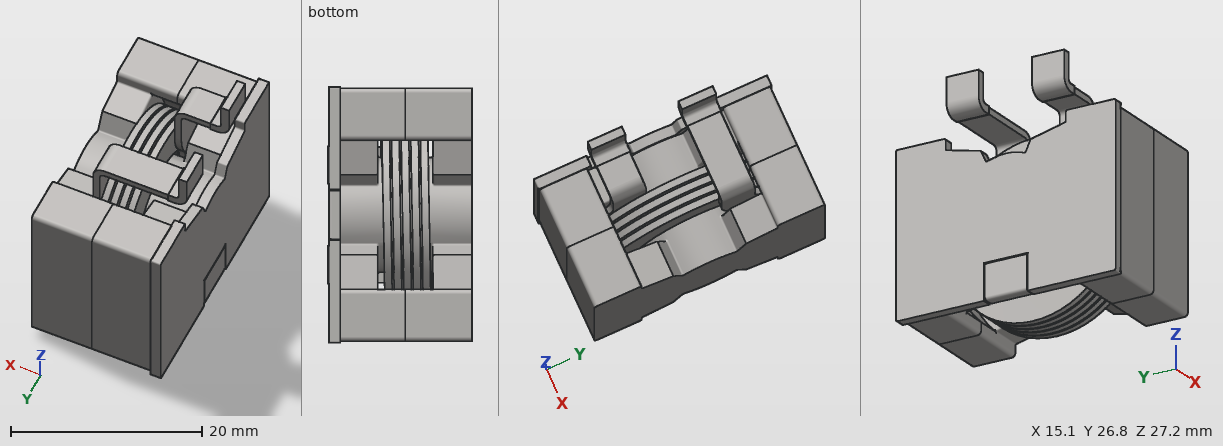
import cadquery as cq
import math


CORE_HALF_LENGTH = 6.98
CORE_WIDTH = 26.5
CORE_HEIGHT = 19.02
CORE_END_X = 15.1
CORE_MID_X = CORE_END_X - CORE_HALF_LENGTH
CORE_START_X = CORE_MID_X - CORE_HALF_LENGTH
CHAMBER_DEPTH = 2.88
POST_RADIUS = 6.0
BORE_RADIUS = 11.25
LEG_INNER_Y = 7.8
LEG_FILLET = 0.5
NOTCH_OUTER_Z = 8.1
NOTCH_STEP_Y = 4.18
NOTCH_STEP_Z = 7.25
NOTCH_FLOOR_Y = 3.05
NOTCH_FLOOR_Z = 5.03
NOTCH_FILLET = 0.2

PLATE_START_X = 0.1
PLATE_THICKNESS = 1.2
PLATE_WIDTH = 26.8
PLATE_HEIGHT = 19.48
PLATE_FILLET = 0.2
CUTOUT_HALF_WIDTH = 7.34
CUTOUT_SIDE_Z = 8.42
CUTOUT_STEP_Y = 3.05
CUTOUT_STEP_Z = 7.42
CUTOUT_ARC_RADIUS = 6.45
CUTOUT_ARC_Y = 2.4
PLATE_END_X = PLATE_START_X + PLATE_THICKNESS

STRAP_WIDTH = 5.08
STRAP_THICKNESS = 0.22
STRAP_GAP = 0.14
STRAP_BOTTOM_Z = -9.67
STRAP_BEND_RADIUS = 0.35
RECESS_WIDTH = STRAP_WIDTH + 2 * STRAP_GAP
RECESS_TOP_Z = -5.43
RECESS_BEND_RADIUS = STRAP_BEND_RADIUS - STRAP_THICKNESS

WIRE_WIDTH = 3.8
WIRE_THICKNESS = 0.8
COIL_OUTER_RADIUS = 10.51
COIL_MEAN_RADIUS = COIL_OUTER_RADIUS - WIRE_WIDTH / 2
COIL_START_X = 5.95
COIL_TURNS = 4.5
COIL_PITCH = 1.0
COIL_END_X = COIL_START_X + COIL_TURNS * COIL_PITCH

LEAD_Y = 5.22
LEAD_Z = 12.8
LEAD_TOP_Z = 16.65
LEAD_BEND_RADIUS = 0.95
LEAD_JOG_RADIUS = 3.8
TIN_WIDTH = 3.95
TIN_THICKNESS = 0.95
TIN_LENGTH = 2.2


def box_between(x0, x1, y0, y1, z0, z1):
    """Box given by its limits on each axis."""
    return cq.Workplane("XY").box(x1 - x0, y1 - y0, z1 - z0, centered=False).translate((x0, y0, z0))


def x_cylinder(radius, x0, x1):
    """Cylinder on the winding axis."""
    return cq.Workplane("YZ", origin=(x0, 0, 0)).circle(radius).extrude(x1 - x0)


def edges_at(y, z):
    """Selector for edges near (y, z) and its three mirror positions."""
    reach = 0.14
    selector = None
    for centre_y in (-y, y):
        for centre_z in (-z, z):
            box = cq.selectors.BoxSelector(
                (CORE_START_X, centre_y - reach, centre_z - reach),
                (CORE_END_X, centre_y + reach, centre_z + reach),
            )
            selector = box if selector is None else selector + box
    return selector


def end_wall():
    """Wall behind the chamber, with stepped V notches above and below and rounded inner edges."""
    wall_y = LEG_INNER_Y + LEG_FILLET
    wall_z = CORE_HEIGHT / 2 - LEG_FILLET
    quarter = [
        (wall_y, wall_z),
        (LEG_INNER_Y, wall_z),
        (LEG_INNER_Y, NOTCH_OUTER_Z),
        (NOTCH_STEP_Y, NOTCH_STEP_Z),
        (NOTCH_FLOOR_Y, NOTCH_FLOOR_Z),
    ]
    top = quarter + [(-y, z) for y, z in reversed(quarter)]
    bottom = [(-y, -z) for y, z in top]
    wall = (
        cq.Workplane("YZ", origin=(CORE_START_X, 0, 0))
        .polyline(top + bottom)
        .close()
        .extrude(CORE_HALF_LENGTH - CHAMBER_DEPTH)
    )
    wall = wall.edges("|X").edges(edges_at(LEG_INNER_Y, NOTCH_OUTER_Z)).fillet(NOTCH_FILLET)
    return wall.faces(">X").edges().fillet(NOTCH_FILLET)


def core_leg(side):
    """Outer leg on one side (-1 or +1 along Y), hollowed for the coil."""
    leg_width = CORE_WIDTH / 2 - LEG_INNER_Y
    leg = (
        cq.Workplane("YZ", origin=(CORE_START_X, side * (LEG_INNER_Y + leg_width / 2), 0))
        .rect(leg_width, CORE_HEIGHT)
        .extrude(CORE_HALF_LENGTH)
        .edges("|X")
        .fillet(LEG_FILLET)
    )
    return leg.cut(x_cylinder(BORE_RADIUS, CORE_MID_X - CHAMBER_DEPTH, CORE_MID_X))


def core_half():
    """Core half on the plate side, with its mating face at CORE_MID_X."""
    body = end_wall().union(core_leg(-1)).union(core_leg(1))
    body = body.union(x_cylinder(POST_RADIUS, CORE_START_X, CORE_MID_X))

    root_z = math.sqrt(POST_RADIUS ** 2 - NOTCH_FLOOR_Y ** 2)
    return body.edges("|X").edges(edges_at(NOTCH_FLOOR_Y, root_z)).fillet(NOTCH_FILLET)


def base_plate(core):
    """Plate with a rim around three sides of the core; the -Y side is open."""
    half_width = PLATE_WIDTH / 2
    half_height = PLATE_HEIGHT / 2
    arc_z = math.sqrt(CUTOUT_ARC_RADIUS ** 2 - CUTOUT_ARC_Y ** 2)
    plate = (
        cq.Workplane("YZ", origin=(PLATE_START_X, 0, 0))
        .moveTo(half_width, -half_height)
        .lineTo(half_width, half_height)
        .lineTo(CUTOUT_HALF_WIDTH, half_height)
        .lineTo(CUTOUT_HALF_WIDTH, CUTOUT_SIDE_Z)
        .lineTo(CUTOUT_STEP_Y, CUTOUT_STEP_Z)
        .lineTo(CUTOUT_ARC_Y, arc_z)
        .threePointArc((0, CUTOUT_ARC_RADIUS), (-CUTOUT_ARC_Y, arc_z))
        .lineTo(-CUTOUT_STEP_Y, CUTOUT_STEP_Z)
        .lineTo(-CUTOUT_HALF_WIDTH, CUTOUT_SIDE_Z)
        .lineTo(-CUTOUT_HALF_WIDTH, half_height)
        .lineTo(-half_width, half_height)
        .lineTo(-half_width, -half_height)
        .close()
        .extrude(PLATE_THICKNESS)
        .edges("|X")
        .fillet(PLATE_FILLET)
    )
    open_side = box_between(
        CORE_START_X, PLATE_END_X, -half_width, -CORE_WIDTH / 2, -CORE_HEIGHT / 2, CORE_HEIGHT / 2
    )
    return plate.cut(strap_recess()).cut(open_side).cut(core)


def strap_fold(width, top_z, bottom_z):
    """L-shaped band across the front of the plate and under it, rounded along the fold."""
    inner_x = PLATE_START_X + STRAP_THICKNESS
    inner_z = STRAP_BOTTOM_Z + STRAP_THICKNESS
    return (
        cq.Workplane("XZ", origin=(0, width / 2, 0))
        .moveTo(PLATE_START_X, top_z)
        .lineTo(PLATE_START_X, bottom_z)
        .lineTo(PLATE_END_X, bottom_z)
        .lineTo(PLATE_END_X, inner_z)
        .lineTo(inner_x + RECESS_BEND_RADIUS, inner_z)
        .radiusArc((inner_x, inner_z + RECESS_BEND_RADIUS), RECESS_BEND_RADIUS)
        .lineTo(inner_x, top_z)
        .close()
        .extrude(width)
    )


def strap_recess():
    """Room for the strap, open at the front and bottom of the plate."""
    return strap_fold(RECESS_WIDTH, RECESS_TOP_Z, -PLATE_HEIGHT / 2)


def fold_strap():
    """Strap lying against the recess, with its outer corner rounded."""
    band = strap_fold(STRAP_WIDTH, RECESS_TOP_Z - STRAP_GAP, STRAP_BOTTOM_Z)
    return band.edges("<X and <Z").fillet(STRAP_BEND_RADIUS)


def coil_turns():
    """Edge-wound helix from the -Y side, under the post, to the +Y side."""
    plane = cq.Plane(origin=(COIL_START_X, 0, 0), xDir=(0, -1, 0), normal=(1, 0, 0))
    helix = cq.Wire.makeHelix(COIL_PITCH, COIL_TURNS * COIL_PITCH, COIL_MEAN_RADIUS)
    section = cq.Workplane("XZ").center(COIL_MEAN_RADIUS, 0).rect(WIRE_WIDTH, WIRE_THICKNESS)
    turns = section.sweep(cq.Workplane(helix), isFrenet=True)
    return cq.Workplane(turns.val().moved(plane.location))


def bent_strip(x0, z0, x1, z1, thickness, width, side_y):
    """L-shaped strip: along X from (x0, z0) to x1, then along Z to z1."""
    turn_x = math.copysign(LEAD_BEND_RADIUS, x0 - x1)
    turn_z = math.copysign(LEAD_BEND_RADIUS, z1 - z0)
    half_root = math.sqrt(0.5)
    path = (
        cq.Workplane("XZ", origin=(0, side_y, 0))
        .moveTo(x0, z0)
        .lineTo(x1 + turn_x, z0)
        .threePointArc(
            (x1 + turn_x * (1 - half_root), z0 + turn_z * (1 - half_root)),
            (x1, z0 + turn_z),
        )
        .lineTo(x1, z1)
    )
    section = cq.Workplane("YZ", origin=(x0, side_y, z0)).rect(width, thickness)
    return section.sweep(path)


def lead(side, x):
    """Lead on one side (-1 or +1 along Y): tinned foot, riser at x and jog into the coil.

    The jog is an S-curve: an arc leaving the riser, then an arc of the coil's own mean radius.
    """
    side_y = side * LEAD_Y
    jog_y = LEAD_Y + LEAD_JOG_RADIUS
    jog_z = math.sqrt((COIL_MEAN_RADIUS + LEAD_JOG_RADIUS) ** 2 - jog_y ** 2)
    jog_angle = math.atan2(jog_z, jog_y)

    foot = bent_strip(
        TIN_LENGTH, LEAD_Z, TIN_THICKNESS / 2, LEAD_TOP_Z, TIN_THICKNESS, TIN_WIDTH, side_y
    )
    riser = bent_strip(TIN_LENGTH, LEAD_Z, x, jog_z, WIRE_THICKNESS, WIRE_WIDTH, side_y)

    def on_circle(centre_y, centre_z, radius, angle):
        return side * (centre_y + radius * math.cos(angle)), centre_z + radius * math.sin(angle)

    jog_mid_angle = math.pi + jog_angle / 2
    jog_path = (
        cq.Workplane("YZ", origin=(x, 0, 0))
        .moveTo(side_y, jog_z)
        .threePointArc(
            on_circle(jog_y, jog_z, LEAD_JOG_RADIUS, jog_mid_angle),
            on_circle(0, 0, COIL_MEAN_RADIUS, jog_angle),
        )
        .threePointArc(
            on_circle(0, 0, COIL_MEAN_RADIUS, jog_angle / 2),
            on_circle(0, 0, COIL_MEAN_RADIUS, 0),
        )
    )
    jog = cq.Workplane("XY", origin=(x, side_y, jog_z)).rect(WIRE_THICKNESS, WIRE_WIDTH).sweep(jog_path)
    return foot.union(riser).union(jog)


def coil_with_leads():
    """Helical winding joined to its two leads."""
    return coil_turns().union(lead(-1, COIL_START_X)).union(lead(1, COIL_END_X))


plate_side_core = core_half()
far_side_core = plate_side_core.mirror("YZ", (CORE_MID_X, 0, 0))
plate = base_plate(plate_side_core)
strap = fold_strap()
coil = coil_with_leads()

bodies = [plate_side_core, far_side_core, plate, strap, coil]
result = cq.Compound.makeCompound([body.solids().val() for body in bodies])